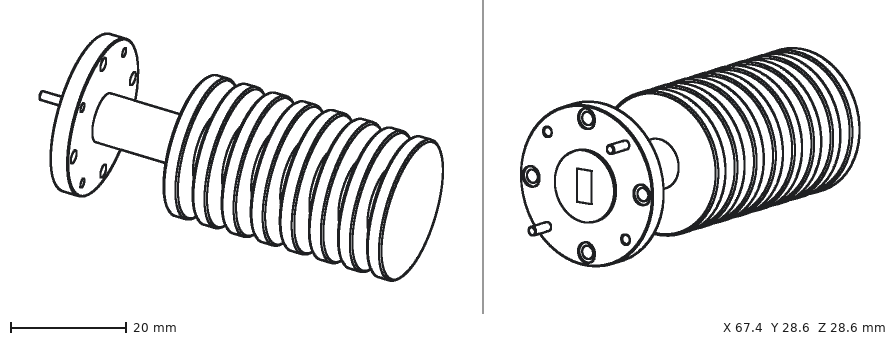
import cadquery as cq
import math


total_length = 67.4
pin_projection = 4.5
rear_end = total_length - pin_projection

flange_diameter = 28.55
flange_thickness = 3.45
flange_edge_chamfer = 0.17

boss_diameter = 12.8
boss_height = 0.6

neck_diameter = 8.9

fin_count = 8
fin_diameter = 25.5
fin_pitch = 5.6
fin_thickness = fin_pitch / 2
fin_edge_chamfer = 0.35
core_diameter = 12.7
sink_length = (fin_count - 1) * fin_pitch + fin_thickness
sink_start = rear_end - sink_length

bolt_circle_radius = 11.9
screw_hole_diameter = 2.35
screw_recess_diameter = 3.65
screw_recess_depth = 0.35
screw_angles = (0, 90, 180, 270)
dowel_hole_diameter = 1.6
dowel_hole_chamfer = 0.15
dowel_hole_angles = (135, 315)

pin_diameter = 1.6
pin_tip_chamfer = 0.15
pin_angles = (45, 225)

absorber_width = 3.2
absorber_height = 5.9
absorber_start = -boss_height
absorber_length = sink_start - absorber_start


def cylinder(diameter, start, length, y=0.0, z=0.0):
    """Cylinder parallel to X that begins at X = start."""
    plane = cq.Workplane("YZ", origin=(start, y, z))
    return plane.circle(diameter / 2).extrude(length)


def chamfered_disc(diameter, start, thickness, chamfer):
    """Disc on the X axis with both rims chamfered."""
    return cylinder(diameter, start, thickness).edges().chamfer(chamfer)


def bolt_circle_point(angle):
    """Y and Z of a point on the bolt circle, with the angle measured from -Y toward +Z."""
    turn = math.radians(angle)
    return -bolt_circle_radius * math.cos(turn), bolt_circle_radius * math.sin(turn)


def make_pin(angle):
    y, z = bolt_circle_point(angle)
    pin = cylinder(pin_diameter, -pin_projection, pin_projection + flange_thickness, y, z)
    return pin.faces("<X").edges().chamfer(pin_tip_chamfer)


def make_dowel_hole(angle):
    """Through hole whose mouth widens in a chamfer at the flange's front face."""
    y, z = bolt_circle_point(angle)
    bore = cylinder(dowel_hole_diameter, 0, flange_thickness, y, z)
    mouth_radius = dowel_hole_diameter / 2 + dowel_hole_chamfer
    mouth_plane = cq.Workplane("YZ", origin=(0, y, z))
    mouth = mouth_plane.circle(mouth_radius).extrude(dowel_hole_chamfer, taper=45)
    return bore.union(mouth)


def make_absorber():
    plane = cq.Workplane("YZ", origin=(absorber_start, 0, 0))
    return plane.rect(absorber_width, absorber_height).extrude(absorber_length)


def make_housing():
    housing = chamfered_disc(flange_diameter, 0, flange_thickness, flange_edge_chamfer)
    housing = housing.union(cylinder(boss_diameter, -boss_height, boss_height))
    housing = housing.union(cylinder(neck_diameter, flange_thickness, sink_start - flange_thickness))
    housing = housing.union(cylinder(core_diameter, sink_start, sink_length))

    for index in range(fin_count):
        fin_start = sink_start + index * fin_pitch
        housing = housing.union(chamfered_disc(fin_diameter, fin_start, fin_thickness, fin_edge_chamfer))

    for angle in screw_angles:
        y, z = bolt_circle_point(angle)
        housing = housing.cut(cylinder(screw_hole_diameter, 0, flange_thickness, y, z))
        housing = housing.cut(cylinder(screw_recess_diameter, 0, screw_recess_depth, y, z))

    for angle in dowel_hole_angles:
        housing = housing.cut(make_dowel_hole(angle))

    for angle in pin_angles:
        housing = housing.cut(make_pin(angle))
    return housing.cut(make_absorber())


housing = make_housing()
absorber = make_absorber()
pins = [make_pin(angle) for angle in pin_angles]

result = cq.Compound.makeCompound([housing.val(), absorber.val(), *[pin.val() for pin in pins]])